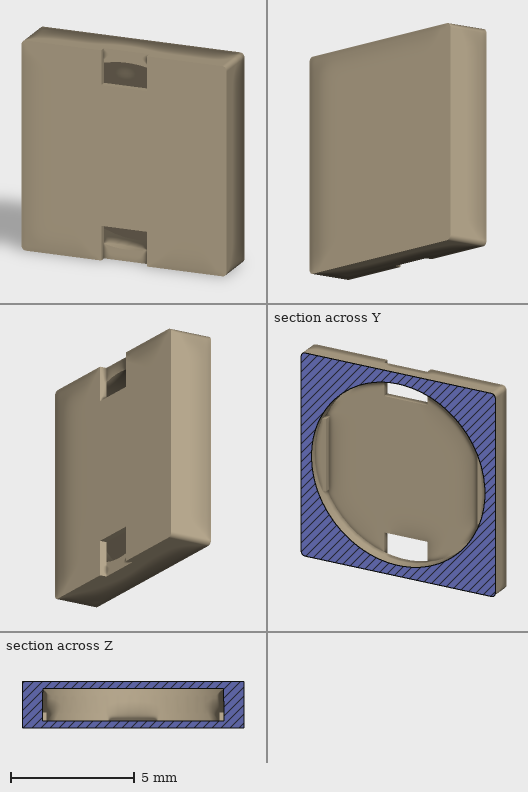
import cadquery as cq

side = 9.0
thickness = 1.9
corner_radius = 0.2

wall = 0.3
chamber_diameter = 8.0
chamber_depth = thickness - 2 * wall

opening_width = 2.0
opening_height = 1.485

terminal_width = 1.0
terminal_depth = 0.63
terminal_height = 3.2

half_side = side / 2
directions = (-1, 1)


def front_block(width, depth, height, x=0.0, z=0.0):
    """Block centred on (x, z) that runs from the front face toward +Y."""
    return cq.Workplane("XY").box(width, depth, height).translate((x, depth / 2, z))


def make_terminal(direction):
    x = direction * (half_side - terminal_width / 2)
    return front_block(terminal_width, terminal_depth, terminal_height, x=x)


def make_chamber():
    return (
        cq.Workplane("XZ", origin=(0, wall, 0))
        .circle(chamber_diameter / 2)
        .extrude(-chamber_depth)
    )


def make_opening(direction):
    z = direction * (half_side - opening_height / 2)
    return front_block(opening_width, wall, opening_height, z=z)


def make_housing(terminals):
    housing = front_block(side, thickness, side).edges("|Y").fillet(corner_radius)
    housing = housing.cut(make_chamber())
    for direction in directions:
        housing = housing.cut(make_opening(direction))
    for terminal in terminals:
        housing = housing.cut(terminal)
    return housing


terminals = [make_terminal(direction) for direction in directions]
housing = make_housing(terminals)

result = cq.Compound.makeCompound(
    [*housing.vals(), *[terminal.val() for terminal in terminals]]
)